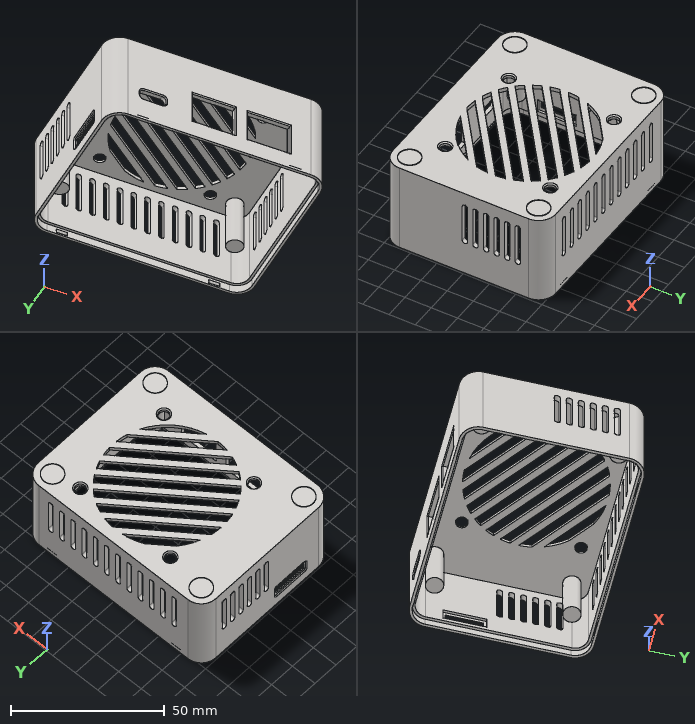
import cadquery as cq
length = 79.0
width = 62.0
height = 34.0
corner_radius = 6.5
wall = 2.0
ceiling = 1.5
overcut = 0.8

rebate_height = 3.0
rebate_wall = 1.0

catch_x = 27.5
catch_z = 1.35
catch_length = 4.0
catch_height = 1.4
catch_depth = 0.7

post_diameter = 6.0
post_inset = 8.0
post_bottom = 13.6
seat_diameter = 8.0
seat_depth = 0.2

fan_x = 2.5
fan_y = 2.6
fan_diameter = 48.0
fan_hole_pitch = 40.0
fan_hole_diameter = 4.0
fan_hole_chamfer = 0.5
grille_angle = 37.5
grille_pitch = 5.6
grille_bar_width = 2.5
grille_bar_count = 10

slot_width = 2.0
slot_bottom = 12.7
slot_length = 16.3
side_slot_count = 6
side_slot_pitch = 4.0
side_slots_y = 10.4
back_slot_count = 12
back_slot_pitch = 5.0
back_slots_x = 0.5

edge_chamfer = 0.4

window_width = 15.3
window_height = 12.2
window_z = 12.9
window_centers_x = (-2.0, 17.9)
power_width = 9.5
power_height = 4.0
power_radius = 1.5
power_x = -23.9
power_z = 11.3

port_y = -11.3
port_z = 7.1
pocket_width = 14.7
pocket_height = 4.75
pocket_radius = 0.6
port_width = 12.95
port_height = 2.05
port_radius = 0.4
port_chamfer = 0.3
port_web = 0.7

cavity_top = height - ceiling
slot_z = slot_bottom + slot_length / 2
front_y = -width / 2
left_x = -length / 2


def four_corners(inset):
    """Points at the same distance from both outer walls in each corner."""
    x = length / 2 - inset
    y = width / 2 - inset
    return [(-x, -y), (x, -y), (-x, y), (x, y)]


def rounded_block(inset, block_height):
    """Block on the bottom plane with its outline set in from the outer walls."""
    return (
        cq.Workplane("XY")
        .rect(length - 2 * inset, width - 2 * inset)
        .extrude(block_height)
        .edges("|Z")
        .fillet(corner_radius - inset)
    )


def front_plane(x, z):
    """Workplane on the front face, normal pointing into the part."""
    return cq.Workplane(cq.Plane((x, front_y, z), xDir=(-1, 0, 0), normal=(0, 1, 0)))


def left_plane(y, z, depth=0):
    """Workplane at a depth below the left face, normal pointing into the part."""
    return cq.Workplane(cq.Plane((left_x + depth, y, z), xDir=(0, 1, 0), normal=(1, 0, 0)))


def rounded_rectangle(size_x, size_y, radius):
    sketch = cq.Sketch().rect(size_x, size_y)
    if radius > 0:
        sketch = sketch.vertices().fillet(radius)
    return sketch


def flare_cutter(plane, size_x, size_y, radius, chamfer):
    """Cutter that narrows at 45 degrees from the plane down to the given size."""
    mouth_radius = radius + chamfer if radius > 0 else 0
    mouth = rounded_rectangle(size_x + 2 * chamfer, size_y + 2 * chamfer, mouth_radius)
    return plane.placeSketch(mouth).extrude(chamfer, taper=45)


def opening_cutter(plane, size_x, size_y, radius, chamfer):
    """Opening through a wall with a chamfered rim on the plane."""
    opening = plane.placeSketch(rounded_rectangle(size_x, size_y, radius)).extrude(wall + overcut)
    return opening.union(flare_cutter(plane, size_x, size_y, radius, chamfer))


def shell():
    """Hollow box with the bottom rebate and four ceiling posts."""
    posts = (
        cq.Workplane("XY", origin=(0, 0, post_bottom))
        .pushPoints(four_corners(post_inset))
        .circle(post_diameter / 2)
        .extrude(cavity_top - post_bottom)
    )
    cavity = rounded_block(wall, cavity_top).cut(posts)
    rebate = rounded_block(rebate_wall, rebate_height)
    return rounded_block(0, height).cut(cavity).cut(rebate)


def catch_grooves():
    """Bars across the cavity whose pointed ends sink the grooves into opposite walls."""
    wall_y = width / 2 - rebate_wall
    half_height = catch_height / 2
    bar = (
        cq.Workplane("YZ", origin=(0, 0, catch_z))
        .moveTo(-wall_y - catch_depth, 0)
        .lineTo(-wall_y, -half_height)
        .lineTo(wall_y, -half_height)
        .lineTo(wall_y + catch_depth, 0)
        .lineTo(wall_y, half_height)
        .lineTo(-wall_y, half_height)
        .close()
        .extrude(catch_length / 2, both=True)
    )
    return bar.translate((-catch_x, 0, 0)).union(bar.translate((catch_x, 0, 0)))


def corner_seats():
    return (
        cq.Workplane("XY", origin=(0, 0, height - seat_depth))
        .pushPoints(four_corners(corner_radius))
        .circle(seat_diameter / 2)
        .extrude(seat_depth + overcut)
    )


def fan_grille():
    """Round opening minus slanted bars spaced evenly about the part centre."""
    opening = (
        cq.Workplane("XY", origin=(fan_x, fan_y, cavity_top))
        .circle(fan_diameter / 2)
        .extrude(ceiling)
    )
    bars = (
        cq.Workplane("XY", origin=(0, 0, cavity_top))
        .transformed(rotate=(0, 0, grille_angle))
        .rarray(0.8, grille_pitch, 1, grille_bar_count)
        .rect(2 * length, grille_bar_width)
        .extrude(ceiling)
    )
    return opening.cut(bars)


def fan_holes():
    """Screw holes around the fan, chamfered on the top face."""
    centers = (
        cq.Workplane("XY", origin=(fan_x, fan_y, height))
        .rect(fan_hole_pitch, fan_hole_pitch, forConstruction=True)
        .vertices()
    )
    holes = centers.circle(fan_hole_diameter / 2).extrude(-ceiling)
    rims = centers.circle(fan_hole_diameter / 2 + fan_hole_chamfer).extrude(-fan_hole_chamfer, taper=45)
    return holes.union(rims)


def side_slots():
    """Matching slot rows in the left and right walls."""
    left_row = (
        cq.Workplane("YZ", origin=(left_x, side_slots_y, slot_z))
        .rarray(side_slot_pitch, 0.8, side_slot_count, 1)
        .slot2D(slot_length, slot_width, 90)
        .extrude(wall)
    )
    return left_row.union(left_row.translate((length - wall, 0, 0)))


def back_slots():
    return (
        cq.Workplane("XZ", origin=(back_slots_x, width / 2, slot_z))
        .rarray(back_slot_pitch, 0.8, back_slot_count, 1)
        .slot2D(slot_length, slot_width, 90)
        .extrude(wall)
    )


def front_openings():
    """Power opening and two square windows."""
    cutters = opening_cutter(
        front_plane(power_x, power_z), power_width, power_height, power_radius, edge_chamfer
    )
    for x in window_centers_x:
        window = opening_cutter(
            front_plane(x, window_z), window_width, window_height, 0, edge_chamfer
        )
        cutters = cutters.union(window)
    return cutters


def side_port():
    """Flared pocket, chamfered opening through its floor, and relief on the cavity side."""
    pocket = flare_cutter(
        left_plane(port_y, port_z), pocket_width, pocket_height, pocket_radius, edge_chamfer
    )
    opening = opening_cutter(
        left_plane(port_y, port_z, edge_chamfer), port_width, port_height, port_radius, port_chamfer
    )
    relief_depth = edge_chamfer + port_web
    relief = (
        left_plane(port_y, port_z, relief_depth)
        .rect(pocket_width, pocket_height)
        .extrude(wall - relief_depth)
    )
    return pocket.union(opening).union(relief)


result = (
    shell()
    .cut(catch_grooves())
    .cut(corner_seats())
    .cut(fan_grille())
    .cut(fan_holes())
    .cut(side_slots())
    .cut(back_slots())
    .cut(front_openings())
    .cut(side_port())
)